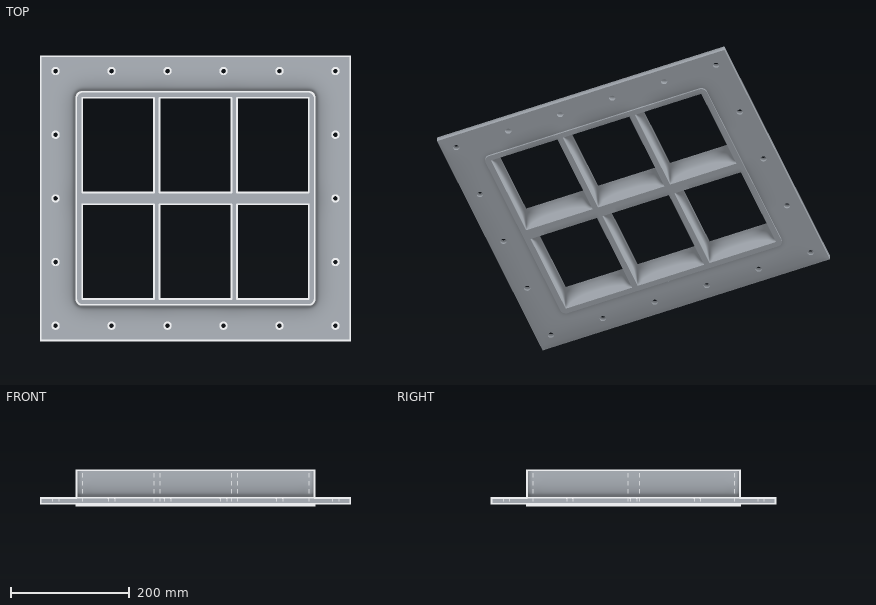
import cadquery as cq

flange_length = 521.5
flange_width = 479.0
flange_thickness = 10.0

flange_margin = 60.0
frame_length = flange_length - 2 * flange_margin
frame_width = flange_width - 2 * flange_margin
frame_height = 60.0
frame_below_flange = 3.0
frame_corner_radius = 10.0

frame_wall = 10.0
columns = 3
rows = 2
column_rib = 10.0
row_rib = 20.0
opening_length = (frame_length - 2 * frame_wall - (columns - 1) * column_rib) / columns
opening_width = (frame_width - 2 * frame_wall - (rows - 1) * row_rib) / rows

hole_diameter = 10.5
hole_edge_distance = 25.0
holes_along_length = 6
holes_along_width = 5
hole_span_length = flange_length - 2 * hole_edge_distance
hole_span_width = flange_width - 2 * hole_edge_distance


def make_flange():
    """Flat plate with its underside at Z = 0."""
    return cq.Workplane("XY").box(
        flange_length, flange_width, flange_thickness, centered=(True, True, False)
    )


def make_frame():
    """Solid block with rounded vertical corners, passing through the flange."""
    return (
        cq.Workplane("XY", origin=(0, 0, -frame_below_flange))
        .rect(frame_length, frame_width)
        .extrude(frame_height)
        .edges("|Z")
        .fillet(frame_corner_radius)
    )


def make_openings():
    """Blocks that cut the grid of openings through the full height."""
    return (
        cq.Workplane("XY", origin=(0, 0, -frame_below_flange))
        .rarray(opening_length + column_rib, opening_width + row_rib, columns, rows)
        .rect(opening_length, opening_width)
        .extrude(frame_height)
    )


def bolt_hole_centres():
    """Evenly spaced points on the bolt rectangle, each corner counted once."""
    pitch_x = hole_span_length / (holes_along_length - 1)
    pitch_y = hole_span_width / (holes_along_width - 1)
    centres = []
    for column in range(holes_along_length):
        for row in range(holes_along_width):
            on_side = column in (0, holes_along_length - 1)
            on_end = row in (0, holes_along_width - 1)
            if on_side or on_end:
                x = column * pitch_x - hole_span_length / 2
                y = row * pitch_y - hole_span_width / 2
                centres.append((x, y))
    return centres


def make_bolt_holes():
    """Cylinders that cut the bolt holes through the flange."""
    return (
        cq.Workplane("XY")
        .pushPoints(bolt_hole_centres())
        .circle(hole_diameter / 2)
        .extrude(flange_thickness)
    )


result = make_flange().union(make_frame()).cut(make_openings()).cut(make_bolt_holes())